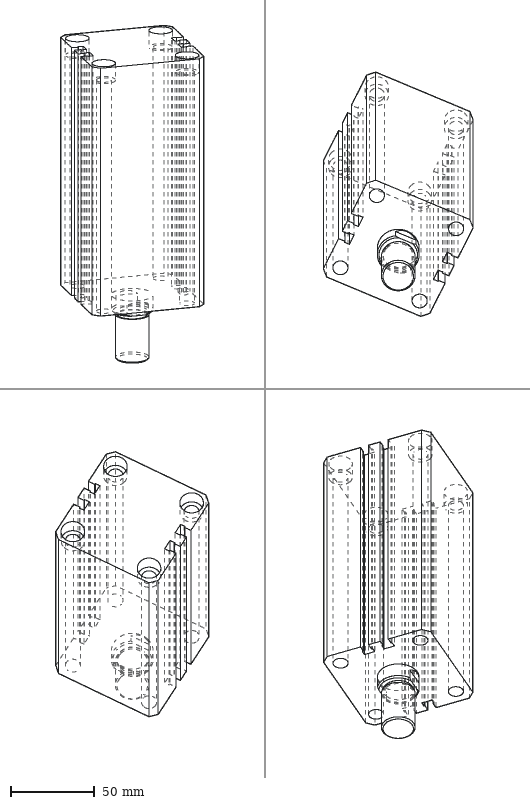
import cadquery as cq

total_height = 195.0
rod_length = 40.0
barrel_width = 70.0
corner_chamfer = 4.0

hole_spacing = 52.0
hole_diameter = 9.0
counterbore_diameter = 14.0
counterbore_depth = 10.5

slot_offset = 6.5
slot_mouth_width = 5.3
slot_inner_width = 6.6
slot_depth = 7.5
slot_lip_depth = 4.3

collar_diameter = 25.0
collar_length = 10.0
collar_chamfer = 1.0
flat_spacing = 21.0
flat_ramp_start = 1.0
neck_diameter = 18.0
neck_length = 2.3
thread_diameter = 20.0
thread_tip_chamfer = 1.0

barrel_height = total_height - rod_length
barrel_half = barrel_width / 2
collar_radius = collar_diameter / 2
flat_half = flat_spacing / 2
flat_ramp_end = flat_ramp_start + collar_radius - flat_half
thread_length = rod_length - collar_length - neck_length


def slot_cutter(center_x, side):
    """Full-height T-slot open on the +Y face (side = 1) or the -Y face (side = -1)."""
    mouth = (
        cq.Workplane("XY")
        .center(center_x, side * (barrel_half - slot_lip_depth / 2))
        .rect(slot_mouth_width, slot_lip_depth)
        .extrude(barrel_height)
    )
    inner_depth = slot_depth - slot_lip_depth
    inner = (
        cq.Workplane("XY")
        .center(center_x, side * (barrel_half - slot_lip_depth - inner_depth / 2))
        .rect(slot_inner_width, inner_depth)
        .extrude(barrel_height)
    )
    return mouth.union(inner)


def make_barrel():
    """Square barrel standing on Z = 0."""
    barrel = (
        cq.Workplane("XY")
        .rect(barrel_width, barrel_width)
        .extrude(barrel_height)
        .edges("|Z")
        .chamfer(corner_chamfer)
    )
    barrel = (
        barrel.faces(">Z")
        .workplane()
        .rect(hole_spacing, hole_spacing, forConstruction=True)
        .vertices()
        .cboreHole(hole_diameter, counterbore_diameter, counterbore_depth)
    )
    for side in (-1, 1):
        for center_x in (-slot_offset, slot_offset):
            barrel = barrel.cut(slot_cutter(center_x, side))
    return barrel


def flat_cutter(side):
    """Wrench flat on the +X (side = 1) or -X (side = -1) of the collar, with a 45 degree ramp at its top."""
    return (
        cq.Workplane("XZ")
        .polyline([
            (side * collar_radius, -flat_ramp_start),
            (side * flat_half, -flat_ramp_end),
            (side * flat_half, -collar_length),
            (side * collar_radius, -collar_length),
        ])
        .close()
        .extrude(collar_radius, both=True)
    )


def make_rod():
    """Piston rod hanging from the barrel's bottom face at Z = 0."""
    collar = (
        cq.Workplane("XY")
        .circle(collar_radius)
        .extrude(-collar_length)
        .faces("<Z")
        .chamfer(collar_chamfer)
    )
    for side in (-1, 1):
        collar = collar.cut(flat_cutter(side))
    neck = (
        cq.Workplane("XY")
        .workplane(offset=-collar_length)
        .circle(neck_diameter / 2)
        .extrude(-neck_length)
    )
    thread = (
        cq.Workplane("XY")
        .workplane(offset=-collar_length - neck_length)
        .circle(thread_diameter / 2)
        .extrude(-thread_length)
        .faces("<Z")
        .chamfer(thread_tip_chamfer)
    )
    return collar.union(neck).union(thread)


barrel = make_barrel()
rod = make_rod()

result = cq.Compound.makeCompound([barrel.val(), rod.val()])